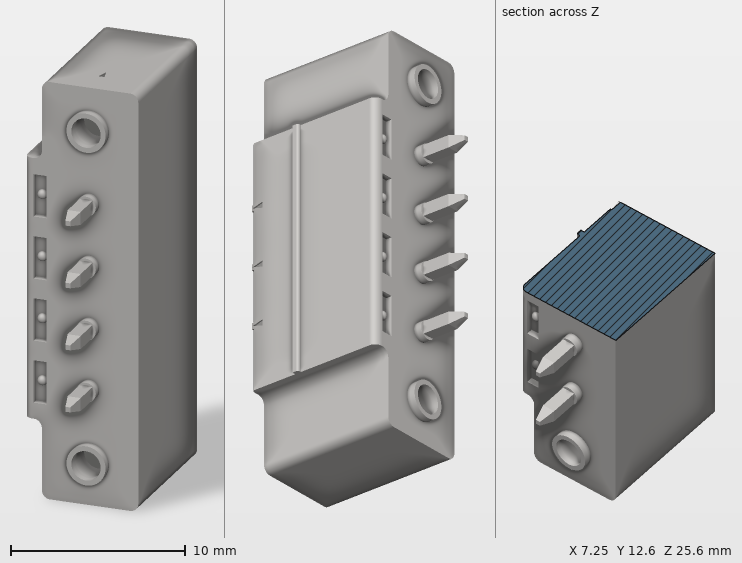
import cadquery as cq


PIN_COUNT = 4
PITCH = 3.81
PIN_WIDTH = 0.8
PIN_TIP_WIDTH = 0.3
PIN_LENGTH = 3.38
PIN_TAPER_LENGTH = 1.0
COLLAR_DIAMETER = 1.2
STANDOFF = 0.53

END_MARGIN = 7.1
HOUSING_LENGTH = (PIN_COUNT - 1) * PITCH + 2 * END_MARGIN
HOUSING_DEPTH = 9.22
WALL_X = 3.0
EAR_X = -2.92
EDGE_RADIUS = 0.5

PANEL_X = -4.0
PANEL_LENGTH = 16.0
PANEL_CHAMFER = 0.15

RIB_HEIGHT = 0.25
RIB_WIDTH = 0.42
RIB_FRONT_Y = 5.58
RIB_RADIUS = 0.16

BOSS_DIAMETER = 2.4
BOSS_BORE = 1.8
BOSS_BORE_DEPTH = 2.0
BOSS_Z = HOUSING_LENGTH / 2 - 2.6

WINDOW_WIDTH = 0.8
WINDOW_LENGTH = 2.6
WINDOW_DEPTH = 0.4
WINDOW_X = -3.02
DOME_RADIUS = 0.3

MARK_WIDTH = 0.4
MARK_LENGTH = 0.75
MARK_DEPTH = 0.1
PANEL_MARK_BASE_Y = HOUSING_DEPTH - 0.8
END_MARK_BASE_Y = 1.87

PIN_ZS = [(i - (PIN_COUNT - 1) / 2) * PITCH for i in range(PIN_COUNT)]
GAP_ZS = [z + PITCH / 2 for z in PIN_ZS[:-1]]


def box_between(x_range, y_range, z_range):
    """Axis-aligned box given by its (low, high) limits."""
    (x0, x1), (y0, y1), (z0, z1) = x_range, y_range, z_range
    return cq.Workplane("XY").box(x1 - x0, y1 - y0, z1 - z0, centered=False).translate((x0, y0, z0))


def front_cylinder(diameter, length, x, z, start_y=0):
    """Cylinder running from start_y toward -Y."""
    return cq.Workplane("XZ", origin=(x, start_y, z)).circle(diameter / 2).extrude(length)


def make_housing():
    """Block with rounded long edges and a raised panel blended into its -X side."""
    half_length = HOUSING_LENGTH / 2
    half_panel = PANEL_LENGTH / 2
    outline = [
        (WALL_X, -half_length),
        (WALL_X, half_length),
        (EAR_X, half_length),
        (EAR_X, half_panel),
        (PANEL_X, half_panel),
        (PANEL_X, -half_panel),
        (EAR_X, -half_panel),
        (EAR_X, -half_length),
    ]
    housing = cq.Workplane("XZ").polyline(outline).close().extrude(-HOUSING_DEPTH)
    corners = cq.selectors.BoxSelector(
        (EAR_X - EDGE_RADIUS, -1, -HOUSING_LENGTH),
        (WALL_X + EDGE_RADIUS, HOUSING_DEPTH + 1, HOUSING_LENGTH),
    )
    housing = housing.edges("|Y").edges(corners).fillet(EDGE_RADIUS)
    housing = housing.faces("<X").edges("<Y").fillet(EDGE_RADIUS)
    return housing.faces("<X").edges(">Y").chamfer(PANEL_CHAMFER)


def make_rib():
    """Rib along the panel with its outer front edge rounded."""
    rib = box_between(
        (PANEL_X - RIB_HEIGHT, PANEL_X),
        (RIB_FRONT_Y, RIB_FRONT_Y + RIB_WIDTH),
        (-PANEL_LENGTH / 2, PANEL_LENGTH / 2),
    )
    return rib.faces("<X").edges("<Y").fillet(RIB_RADIUS)


def make_chamfer_bridge(z):
    """Short stretch of square panel edge that interrupts the chamfer behind a mark."""
    return box_between(
        (PANEL_X, PANEL_X + PANEL_CHAMFER),
        (HOUSING_DEPTH - PANEL_CHAMFER, HOUSING_DEPTH),
        (z - MARK_WIDTH / 2, z + MARK_WIDTH / 2),
    )


def make_mark(plane):
    """Triangle with its base at the plane origin and its tip along the plane's local y."""
    triangle = [(-MARK_WIDTH / 2, 0), (MARK_WIDTH / 2, 0), (0, MARK_LENGTH)]
    return cq.Workplane(plane).polyline(triangle).close().extrude(-MARK_DEPTH)


def make_panel_mark(z):
    plane = cq.Plane(origin=(PANEL_X, PANEL_MARK_BASE_Y, z), xDir=(0, 0, 1), normal=(-1, 0, 0))
    return make_mark(plane)


def make_end_mark():
    plane = cq.Plane(origin=(0, END_MARK_BASE_Y, HOUSING_LENGTH / 2), xDir=(1, 0, 0), normal=(0, 0, 1))
    return make_mark(plane)


def make_window(z):
    return box_between(
        (WINDOW_X - WINDOW_WIDTH / 2, WINDOW_X + WINDOW_WIDTH / 2),
        (0, WINDOW_DEPTH),
        (z - WINDOW_LENGTH / 2, z + WINDOW_LENGTH / 2),
    )


def make_dome(z):
    """Contact point standing on the window floor; its rear half is inside the housing."""
    return cq.Workplane("XY").sphere(DOME_RADIUS).translate((WINDOW_X, WINDOW_DEPTH, z))


def make_pin(z):
    """Round collar and square pin with a pyramidal tip."""
    shank_length = PIN_LENGTH - PIN_TAPER_LENGTH
    collar = front_cylinder(COLLAR_DIAMETER, STANDOFF, 0, z)
    shank = cq.Workplane("XZ", origin=(0, 0, z)).rect(PIN_WIDTH, PIN_WIDTH).extrude(shank_length)
    tip = (
        cq.Workplane("XZ", origin=(0, -shank_length, z))
        .rect(PIN_WIDTH, PIN_WIDTH)
        .workplane(offset=PIN_TAPER_LENGTH)
        .rect(PIN_TIP_WIDTH, PIN_TIP_WIDTH)
        .loft(ruled=True)
    )
    return collar.union(shank).union(tip)


def make_connector():
    body = make_housing().union(make_rib())
    for z in GAP_ZS:
        body = body.union(make_chamfer_bridge(z)).cut(make_panel_mark(z))
    body = body.cut(make_end_mark())
    for z in PIN_ZS:
        body = body.cut(make_window(z)).union(make_dome(z)).union(make_pin(z))
    for z in (-BOSS_Z, BOSS_Z):
        body = body.union(front_cylinder(BOSS_DIAMETER, STANDOFF, 0, z))
        bore = front_cylinder(BOSS_BORE, BOSS_BORE_DEPTH, 0, z, BOSS_BORE_DEPTH - STANDOFF)
        body = body.cut(bore)
    return body


result = make_connector()